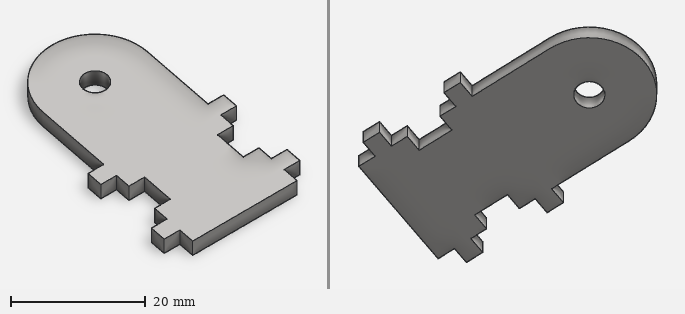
import cadquery as cq

thickness = 3.0
length = 45.0
body_width = 20.0
hole_diameter = 4.6
step = 3.0
notch_length = 6.0
tab_to_notch_gap = 2.9

end_radius = body_width / 2
square_end_x = length - end_radius

tab_to_notch_pitch = step / 2 + tab_to_notch_gap + notch_length / 2
rear_tab_x = square_end_x - step - step / 2
notch_x = rear_tab_x - tab_to_notch_pitch
front_tab_x = notch_x - tab_to_notch_pitch


def make_body():
    """Flat plate with one square end and one fully rounded end."""
    return (
        cq.Workplane("XY")
        .moveTo(0, end_radius)
        .lineTo(square_end_x, end_radius)
        .lineTo(square_end_x, -end_radius)
        .lineTo(0, -end_radius)
        .threePointArc((-end_radius, 0), (0, end_radius))
        .close()
        .extrude(thickness)
    )


def crossbar(x, size_x, size_y):
    """Full-thickness block centred on the part's long axis at x."""
    return cq.Workplane("XY").center(x, 0).rect(size_x, size_y).extrude(thickness)


def add_tabs(part):
    """Pairs of square tabs standing out from both long edges."""
    for tab_x in (front_tab_x, rear_tab_x):
        part = part.union(crossbar(tab_x, step, body_width + 2 * step))
    return part


def cut_notches(part):
    """Rectangular notch in each long edge, between the tabs."""
    outer = crossbar(notch_x, notch_length, body_width)
    kept_core = crossbar(notch_x, notch_length, body_width - 2 * step)
    return part.cut(outer.cut(kept_core))


def cut_hole(part):
    """Round through hole concentric with the rounded end."""
    return part.cut(cq.Workplane("XY").circle(hole_diameter / 2).extrude(thickness))


result = cut_hole(cut_notches(add_tabs(make_body())))